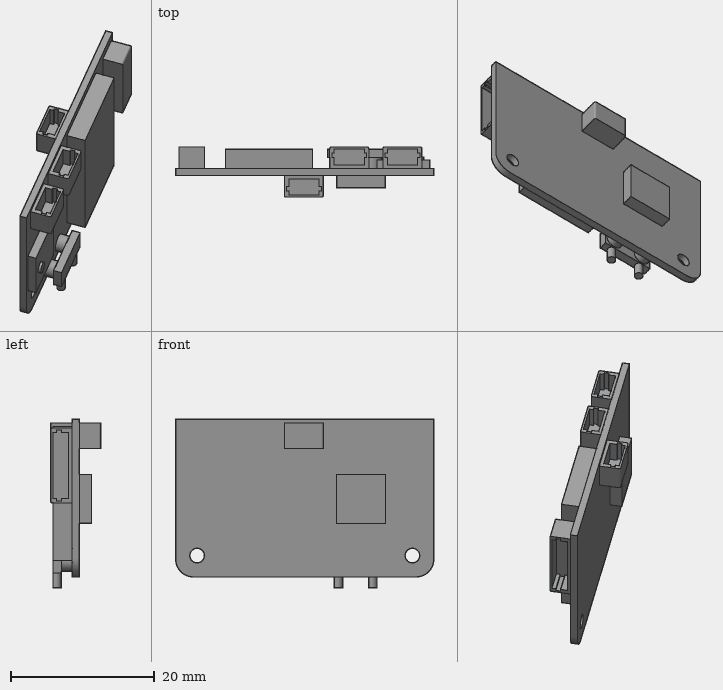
import cadquery as cq

board_width = 36.0
board_height = 22.0
board_thickness = 1.0
board_corner_radius = 2.5
mount_hole_diameter = 2.0
mount_hole_inset = 3.0

short_connector_width = 5.45
long_connector_width = 10.45
connector_length = 3.6
connector_height = 3.0
connector_edge_radius = 0.25
connector_edge_gap = 0.5
socket_depth = 3.0
socket_floor = 0.5
socket_height = 2.2
socket_side_wall = 0.625
key_slot_base = 1.5
key_slot_height = 0.65
key_slot_side_wall = 0.3

back_connector_centers = (6.2, 13.6)
front_connector_center = -0.12
side_connector_center_z = 15.55
side_connector_mouth_x = -17.55

module_left = -11.05
module_width = 12.15
module_bottom = 2.3
module_top = 21.0
module_height = 2.7

chip_size = 6.8
chip_height = 1.7
chip_center_x = 7.85
chip_center_z = 10.9

post_centers = (4.7, 9.5)
post_diameter = 2.5
post_height = 1.5
post_center_z = 2.05
guide_bar_margin = 1.5
guide_bar_thickness = 1.2
guide_pin_diameter = 1.2
guide_pin_overhang = 1.5

package_size = 7.4
package_height = 1.2
package_center_x = 13.75
package_center_z = 9.5
button_diameter = 1.6
button_height = 1.6
button_center_x = 15.8


def box_between(x_range, y_range, z_range):
    """Box spanning the given X, Y and Z ranges."""
    size = [high - low for low, high in (x_range, y_range, z_range)]
    corner = (x_range[0], y_range[0], z_range[0])
    return cq.Workplane("XY").box(*size, centered=False).translate(corner)


def post_on_back(x, z, diameter, height):
    """Round post standing on the back face of the board."""
    back_face = cq.Workplane("XZ", origin=(x, board_thickness, z))
    return back_face.circle(diameter / 2).extrude(-height)


def make_board():
    board = box_between(
        (-board_width / 2, board_width / 2), (0, board_thickness), (0, board_height)
    )
    board = board.edges("|Y and <Z").fillet(board_corner_radius)
    hole_x = board_width / 2 - mount_hole_inset
    for x in (-hole_x, hole_x):
        hole = cq.Workplane("XZ", origin=(x, 0, mount_hole_inset))
        board = board.cut(hole.circle(mount_hole_diameter / 2).extrude(-board_thickness))
    return board


def make_connector(width):
    """Housing resting on Y = 0 and rising to +Y, with its socket mouth facing +Z at Z = 0."""
    half_width = width / 2
    housing = box_between((-half_width, half_width), (0, connector_height), (-connector_length, 0))
    housing = housing.edges("|Z and >Y").fillet(connector_edge_radius)

    socket_half = half_width - socket_side_wall
    socket_top = socket_floor + socket_height
    socket = box_between((-socket_half, socket_half), (socket_floor, socket_top), (-socket_depth, 0))

    slot_half = half_width - key_slot_side_wall
    slot_top = key_slot_base + key_slot_height
    key_slots = box_between((-slot_half, slot_half), (key_slot_base, slot_top), (-socket_depth, 0))
    return housing.cut(socket).cut(key_slots)


def make_connectors():
    mouth_z = board_height - connector_edge_gap
    upright = make_connector(short_connector_width)
    connectors = [upright.translate((x, board_thickness, mouth_z)) for x in back_connector_centers]

    front = upright.rotate((0, 0, 0), (0, 0, 1), 180)
    connectors.append(front.translate((front_connector_center, 0, mouth_z)))

    sideways = make_connector(long_connector_width).rotate((0, 0, 0), (0, 1, 0), -90)
    connectors.append(
        sideways.translate((side_connector_mouth_x, board_thickness, side_connector_center_z))
    )
    return connectors


def make_module():
    return box_between(
        (module_left, module_left + module_width),
        (board_thickness, board_thickness + module_height),
        (module_bottom, module_top),
    )


def make_chip():
    half = chip_size / 2
    return box_between(
        (chip_center_x - half, chip_center_x + half),
        (-chip_height, 0),
        (chip_center_z - half, chip_center_z + half),
    )


def make_light_guide():
    bar_base = board_thickness + post_height
    bar_bottom = post_center_z - guide_bar_margin
    guide = box_between(
        (post_centers[0] - guide_bar_margin, post_centers[-1] + guide_bar_margin),
        (bar_base, bar_base + guide_bar_thickness),
        (bar_bottom, post_center_z + guide_bar_margin),
    )
    pin_y = bar_base + guide_bar_thickness / 2
    for x in post_centers:
        guide = guide.union(post_on_back(x, post_center_z, post_diameter, post_height))
        pin = cq.Workplane("XY", origin=(x, pin_y, -guide_pin_overhang))
        pin = pin.circle(guide_pin_diameter / 2).extrude(guide_pin_overhang + bar_bottom)
        guide = guide.union(pin)
    return guide


def make_button_package():
    half = package_size / 2
    package = box_between(
        (package_center_x - half, package_center_x + half),
        (board_thickness, board_thickness + package_height),
        (package_center_z - half, package_center_z + half),
    )
    button = post_on_back(button_center_x, package_center_z, button_diameter, button_height)
    return package.union(button)


result = make_board()
for component in make_connectors():
    result = result.union(component)
result = result.union(make_module())
result = result.union(make_chip())
result = result.union(make_light_guide())
result = result.union(make_button_package())